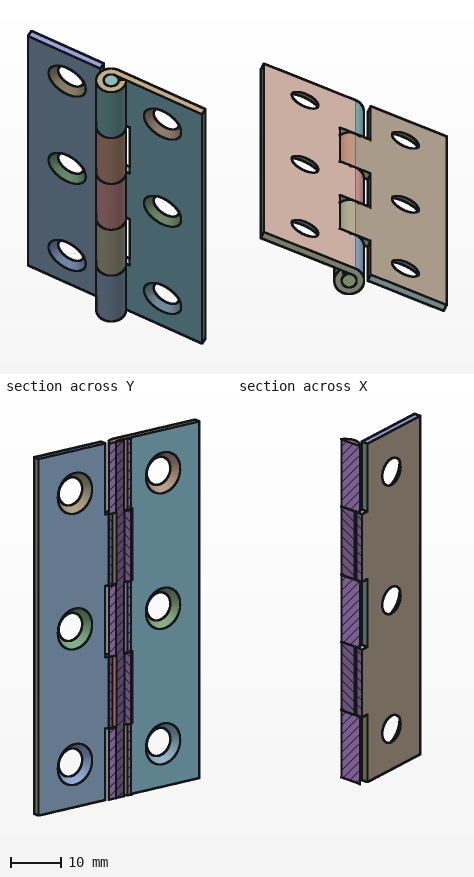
import cadquery as cq
import math

height = 75.0
width = 40.0
leaf_thickness = 1.5
pin_radius = 1.5
barrel_radius = pin_radius + leaf_thickness
knuckle_count = 5
knuckle_height = height / knuckle_count
barrel_clearance = 0.4
notch_edge_x = barrel_radius + barrel_clearance

hole_diameter = 5.8
countersink_diameter = 8.55
hole_column_x = 10.95
hole_pitch = 28.5

roll_end_angle = 27.0
roll_end_x = pin_radius * math.cos(math.radians(roll_end_angle))
roll_end_y = pin_radius * math.sin(math.radians(roll_end_angle))
roll_stop_x = roll_end_x + (pin_radius - roll_end_y)
barrel_meets_leaf_x = math.sqrt(barrel_radius**2 - pin_radius**2)


def make_knuckle(index):
    """Strip of leaf, rolled around the pin; index counts up from the bottom."""
    bottom_z = -height / 2 + index * knuckle_height
    return (
        cq.Workplane("XY", origin=(0, 0, bottom_z))
        .moveTo(notch_edge_x, barrel_radius)
        .lineTo(0, barrel_radius)
        .threePointArc((0, -barrel_radius), (barrel_meets_leaf_x, pin_radius))
        .lineTo(notch_edge_x, pin_radius)
        .close()
        .extrude(knuckle_height)
        .cut(make_roll_bore(bottom_z))
    )


def make_roll_bore(bottom_z):
    """Pin bore together with the small gap at the free end of the roll."""
    bore = cq.Workplane("XY", origin=(0, 0, bottom_z)).circle(pin_radius).extrude(knuckle_height)
    end_gap = (
        cq.Workplane("XY", origin=(0, 0, bottom_z))
        .moveTo(0, 0)
        .lineTo(roll_end_x, roll_end_y)
        .lineTo(roll_stop_x, pin_radius)
        .lineTo(0, pin_radius)
        .close()
        .extrude(knuckle_height)
    )
    return bore.union(end_gap)


def make_screw_hole(z):
    """Cone through the leaf, widest on the barrel side."""
    cone = cq.Solid.makeCone(
        countersink_diameter / 2,
        hole_diameter / 2,
        leaf_thickness,
        pnt=cq.Vector(hole_column_x, pin_radius, z),
        dir=cq.Vector(0, 1, 0),
    )
    return cq.Workplane("XY").newObject([cone])


def make_leaf(knuckle_indices):
    """Leaf on the +X side, with knuckles at the given places along the pin."""
    leaf = cq.Workplane("XY").box(
        width / 2 - notch_edge_x, leaf_thickness, height, centered=(False, False, True)
    ).translate((notch_edge_x, pin_radius, 0))
    for index in knuckle_indices:
        leaf = leaf.union(make_knuckle(index))
    for z in (-hole_pitch, 0, hole_pitch):
        leaf = leaf.cut(make_screw_hole(z))
    return leaf


right_leaf = make_leaf(range(0, knuckle_count, 2))
left_leaf = make_leaf(range(1, knuckle_count, 2)).mirror("YZ")
pin = cq.Workplane("XY").circle(pin_radius).extrude(height / 2, both=True)

result = cq.Compound.makeCompound(
    [right_leaf.solids().val(), left_leaf.solids().val(), pin.solids().val()]
)